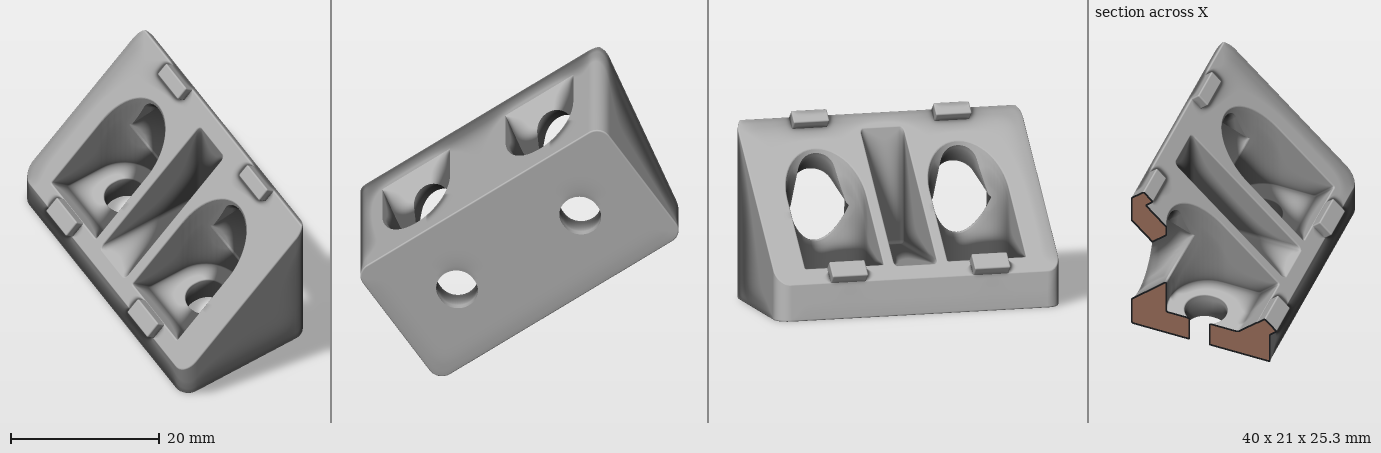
import cadquery as cq
import math


WIDTH = 40.0
DEPTH = 20.0
FRONT_HEIGHT = 5.0
RIDGE_Y = 19.3
CORNER_RADIUS = 2.0
EDGE_ROUND = 0.2

FEATURE_X = (-10.0, 10.0)

TAB_WIDTH = 5.0
TAB_HEIGHT = 1.5
TAB_ROOT = 0.4
LOWER_TAB_LENGTH = 2.5
UPPER_TAB_LENGTH = 2.0

POCKET_DIAMETER = 11.0
POCKET_RADIUS = POCKET_DIAMETER / 2
POCKET_Y = DEPTH / 2
POCKET_FLOOR_Z = 4.0
POCKET_FLOOR_ROUND = 0.2
RAMP_DISTANCE = 2.55
RAMP_FOOT_ROUND = 0.9
FLOOR_HOLE_DIAMETER = 5.4
FLOOR_HOLE_RADIUS = FLOOR_HOLE_DIAMETER / 2
FLOOR_HOLE_STRETCH = 0.4

SLOPE_HOLE_RADIUS = FLOOR_HOLE_RADIUS
SLOPE_HOLE_DISTANCE = 18.8
SLOPE_PLATE = 4.0
SLOPE_HOLE_FLARE_ANGLE = 18.5
HEAD_BORE_RADIUS = POCKET_RADIUS

SLOT_WIDTH = 6.0
SLOT_FLOOR_Z = 6.5
SLOT_BACK_Y = 17.5
SLOT_ROUND = 0.5

DIAGONAL = math.sqrt(2)
SLOPE_LENGTH = RIDGE_Y * DIAGONAL
RIDGE_Z = FRONT_HEIGHT + RIDGE_Y
BACK_HEIGHT = RIDGE_Z - (DEPTH - RIDGE_Y)
FLOOR_HOLE_BACK = FLOOR_HOLE_RADIUS + FLOOR_HOLE_STRETCH
CUT_TOP = RIDGE_Z + DEPTH
AWAY_FROM_SLOPE = cq.Vector(0, -1, 1)


def slope_plane(x, distance, lift=0.0):
    """Plane along the slope: local x is X, local y climbs the slope, local z points away from it."""
    y = (distance - lift) / DIAGONAL
    z = FRONT_HEIGHT + (distance + lift) / DIAGONAL
    return cq.Plane(origin=(x, y, z), xDir=(1, 0, 0), normal=(0, -1, 1))


def make_wedge():
    """Body with rounded upright corners, sloped top and a bevelled upper back edge."""
    side = [
        (0, 0),
        (DEPTH, 0),
        (DEPTH, BACK_HEIGHT),
        (RIDGE_Y, RIDGE_Z),
        (0, FRONT_HEIGHT),
    ]
    wedge = cq.Workplane("YZ").polyline(side).close().extrude(WIDTH / 2, both=True)
    wedge = wedge.edges("|Z").fillet(CORNER_RADIUS)
    return wedge.faces("<Z").edges().fillet(EDGE_ROUND)


def make_tab(x, start, length):
    """Rounded tab whose root is sunk into the body, so that it fills the rounded body edge."""
    tab = cq.Workplane(slope_plane(x, start + length / 2, -TAB_ROOT)).box(
        TAB_WIDTH, length, TAB_ROOT + TAB_HEIGHT, centered=(True, True, False)
    )
    return tab.edges().fillet(EDGE_ROUND)


def make_pocket(x):
    """Round-backed vertical pocket with a flat floor and a ramp square to the slope at the front."""
    ramp_foot_y = FRONT_HEIGHT + RAMP_DISTANCE * DIAGONAL - POCKET_FLOOR_Z
    back_y = POCKET_Y + POCKET_RADIUS
    ramp_rise = CUT_TOP - POCKET_FLOOR_Z
    side = [
        (ramp_foot_y, POCKET_FLOOR_Z),
        (back_y, POCKET_FLOOR_Z),
        (back_y, CUT_TOP),
        (ramp_foot_y - ramp_rise, CUT_TOP),
    ]
    profile = cq.Workplane("YZ", origin=(x, 0, 0)).polyline(side).close()
    section = profile.extrude(POCKET_RADIUS, both=True)
    section = section.edges(cq.selectors.NearestToPointSelector((x, ramp_foot_y, POCKET_FLOOR_Z)))
    section = section.fillet(RAMP_FOOT_ROUND)
    plan = (
        cq.Workplane("XY", origin=(x, POCKET_Y, 0))
        .moveTo(POCKET_RADIUS, 0)
        .threePointArc((0, POCKET_RADIUS), (-POCKET_RADIUS, 0))
        .lineTo(-POCKET_RADIUS, -CUT_TOP)
        .lineTo(POCKET_RADIUS, -CUT_TOP)
        .close()
        .extrude(CUT_TOP)
    )
    pocket = section.intersect(plan)
    return pocket.faces("<Z").edges("%CIRCLE").fillet(POCKET_FLOOR_ROUND)


def make_floor_hole(x):
    """Vertical screw hole, slightly elongated toward the back."""
    return (
        cq.Workplane("XY", origin=(x, POCKET_Y, 0))
        .moveTo(FLOOR_HOLE_RADIUS, 0)
        .lineTo(FLOOR_HOLE_RADIUS, FLOOR_HOLE_STRETCH)
        .threePointArc((0, FLOOR_HOLE_BACK), (-FLOOR_HOLE_RADIUS, FLOOR_HOLE_STRETCH))
        .lineTo(-FLOOR_HOLE_RADIUS, 0)
        .threePointArc((0, -FLOOR_HOLE_RADIUS), (FLOOR_HOLE_RADIUS, 0))
        .close()
        .extrude(POCKET_FLOOR_Z + EDGE_ROUND)
    )


def make_slope_hole(x):
    """Hole through the plate under the slope: round at the top, its flanks flaring downhill."""
    flare = math.radians(SLOPE_HOLE_FLARE_ANGLE)
    tangent_x = SLOPE_HOLE_RADIUS * math.cos(flare)
    tangent_y = SLOPE_HOLE_RADIUS * math.sin(flare)
    flank_drop = HEAD_BORE_RADIUS + tangent_y
    foot_x = tangent_x + flank_drop * math.tan(flare)
    return (
        cq.Workplane(slope_plane(x, SLOPE_HOLE_DISTANCE, -SLOPE_PLATE))
        .moveTo(tangent_x, tangent_y)
        .threePointArc((0, SLOPE_HOLE_RADIUS), (-tangent_x, tangent_y))
        .lineTo(-foot_x, -HEAD_BORE_RADIUS)
        .lineTo(foot_x, -HEAD_BORE_RADIUS)
        .close()
        .extrude(SLOPE_PLATE)
    )


def make_head_bore(x):
    """U-shaped bore under the plate, running uphill and out through the back wall."""
    return (
        cq.Workplane(slope_plane(x, SLOPE_HOLE_DISTANCE, -SLOPE_PLATE))
        .moveTo(HEAD_BORE_RADIUS, 0)
        .lineTo(HEAD_BORE_RADIUS, SLOPE_LENGTH)
        .lineTo(-HEAD_BORE_RADIUS, SLOPE_LENGTH)
        .lineTo(-HEAD_BORE_RADIUS, 0)
        .threePointArc((0, -HEAD_BORE_RADIUS), (HEAD_BORE_RADIUS, 0))
        .close()
        .extrude(-DEPTH)
    )


def make_slot():
    """Vertical slot whose floor runs out at the slope."""
    slot_front_y = SLOT_FLOOR_Z - FRONT_HEIGHT
    slot = (
        cq.Workplane("XY", origin=(0, 0, SLOT_FLOOR_Z))
        .moveTo(0, (slot_front_y + SLOT_BACK_Y) / 2)
        .rect(SLOT_WIDTH, SLOT_BACK_Y - slot_front_y)
        .extrude(CUT_TOP)
    )
    return slot.edges("|Z or (<Z and (not <Y))").fillet(SLOT_ROUND)


def cut_floor_hole(part, x):
    """Cut the floor hole and round its rim on the pocket floor."""
    rim = cq.selectors.BoxSelector(
        (x - FLOOR_HOLE_BACK, POCKET_Y - FLOOR_HOLE_BACK, POCKET_FLOOR_Z - EDGE_ROUND),
        (x + FLOOR_HOLE_BACK, POCKET_Y + FLOOR_HOLE_BACK, POCKET_FLOOR_Z + EDGE_ROUND),
    )
    return part.cut(make_floor_hole(x)).edges(rim).fillet(EDGE_ROUND)


def cut_slope_hole(part, x):
    """Cut the slope hole and its head bore, and round the bore's lower rim in the pocket wall."""
    plate_back = slope_plane(x, SLOPE_HOLE_DISTANCE, -SLOPE_PLATE).origin
    rim = cq.selectors.BoxSelector(
        (x - POCKET_RADIUS, POCKET_Y, POCKET_FLOOR_Z + EDGE_ROUND),
        (x + POCKET_RADIUS, POCKET_Y + POCKET_RADIUS, plate_back.z - HEAD_BORE_RADIUS / DIAGONAL),
    )
    return part.cut(make_slope_hole(x)).cut(make_head_bore(x)).edges(rim).fillet(EDGE_ROUND)


result = make_wedge().cut(make_slot())
for x in FEATURE_X:
    result = result.cut(make_pocket(x))

slope_face = cq.selectors.DirectionMinMaxSelector(AWAY_FROM_SLOPE)
result = result.faces(slope_face).edges().fillet(EDGE_ROUND)

for x in FEATURE_X:
    result = cut_floor_hole(result, x)
    result = cut_slope_hole(result, x)
    result = result.union(make_tab(x, 0, LOWER_TAB_LENGTH))
    result = result.union(make_tab(x, SLOPE_LENGTH - UPPER_TAB_LENGTH, UPPER_TAB_LENGTH))